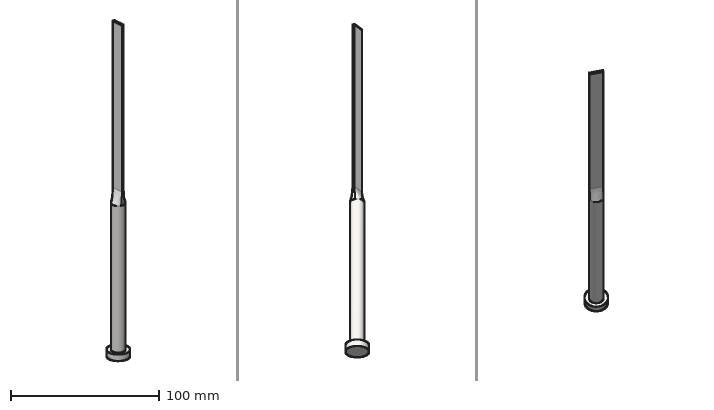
import cadquery as cq
import math

total_length = 250.0
head_diameter = 16.0
head_height = 5.0
shaft_diameter = 10.0
blade_width = 9.5
blade_thickness = 1.5
blade_length = total_length / 2
transition_height = 10.0

blade_base_z = total_length - blade_length
shaft_top_z = blade_base_z - transition_height
shaft_radius = shaft_diameter / 2
half_width = blade_width / 2
half_thickness = blade_thickness / 2
half_flat = math.sqrt(shaft_radius**2 - half_width**2)


def make_head():
    return cq.Workplane("XY").circle(head_diameter / 2).extrude(head_height)


def make_shaft():
    return cq.Workplane("XY").circle(shaft_radius).extrude(shaft_top_z)


def make_transition():
    """Ruled loft from the shaft circle with two side flats to the blade rectangle."""
    lower = cq.Wire.assembleEdges(
        cq.Workplane("XY", origin=(0, 0, shaft_top_z))
        .moveTo(-half_width, -half_flat)
        .threePointArc((0, -shaft_radius), (half_width, -half_flat))
        .lineTo(half_width, half_flat)
        .threePointArc((0, shaft_radius), (-half_width, half_flat))
        .close()
        .val()
        .Edges()
    )
    upper = cq.Wire.makePolygon(
        [
            cq.Vector(x, y, blade_base_z)
            for x, y in (
                (-half_width, -half_thickness),
                (half_width, -half_thickness),
                (half_width, half_thickness),
                (-half_width, half_thickness),
            )
        ],
        close=True,
    )
    return cq.Workplane(cq.Solid.makeLoft([lower, upper], True))


def make_blade():
    return (
        cq.Workplane("XY", origin=(0, 0, blade_base_z))
        .rect(blade_width, blade_thickness)
        .extrude(blade_length)
    )


result = make_head().union(make_shaft()).union(make_transition()).union(make_blade())